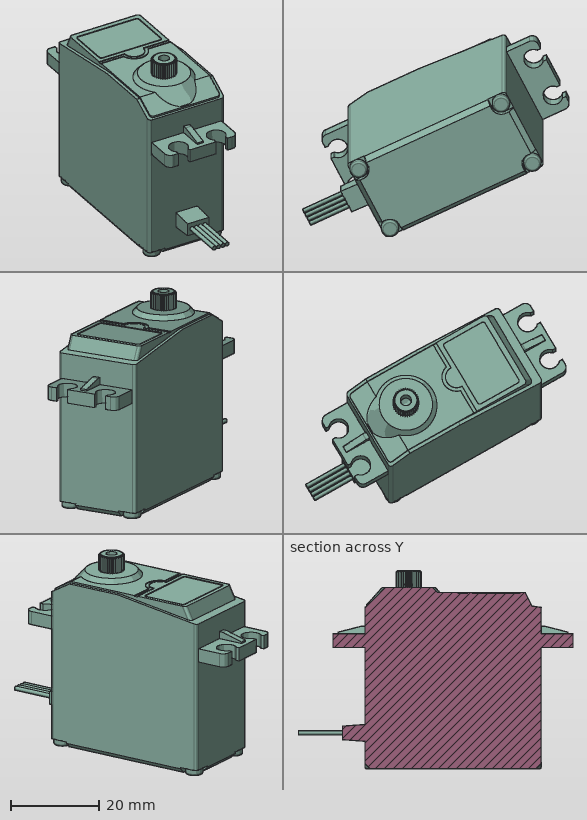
import cadquery as cq
import math

overall_length = 62.2

case_length = 39.95
case_width = 20.0
case_corner_radius = 0.75
case_left_height = 36.6
roof_height = 39.55
roof_left_x = 1.6
roof_right_x = 14.75
roof_fall = math.tan(math.radians(30))
bottom_chamfer = 1.2

lid_height = 39.95
lid_width = 18.4
lid_corner_radius = 0.75
lid_left_top_x = -16.35
lid_left_foot_x = -18.0
lid_left_foot_z = 36.7
lid_right_top_x = 14.8
lid_right_x = 19.6
lid_embed = 1.25

mark_depth = 0.2
label_left_x = -15.1
label_right_x = -4.35
label_width = 16.3
label_corner_radius = 0.55
groove_left_x = -3.25
groove_width = 0.8
groove_arc_radius = 2.5

shaft_x = 10.0
boss_height = 41.05
boss_top_radius = 6.05
boss_flare = 0.9
boss_base_z = 37.3
spline_height = 44.9
spline_teeth = 35
spline_tip_radius = 2.9
spline_root_radius = 2.5
spline_end_chamfer = 0.4
screw_hole_diameter = 2.5
screw_hole_depth = 3.1
drill_point_angle = 118

ear_tip_x = 27.2
ear_width = lid_width
ear_bottom_z = 27.4
ear_top_z = 30.6
ear_corner_radius = 1.5
ear_hole_x = 24.7
ear_hole_y = 5.0
ear_hole_diameter = 4.5
ear_slot_width = 3.0

rib_width = 1.55
rib_shoulder_x = 20.85
rib_tip_x = 26.0
rib_shoulder_z = 32.3
rib_tip_z = 31.0

cable_z = 8.15
boot_end_x = 25.05
boot_root_height = 3.85
boot_end_height = 3.1
boot_width = 5.6
wire_end_x = overall_length - ear_tip_x
wire_diameter = 1.0
wire_pitch = 1.1
wire_count = 4

foot_diameter = 4.0
foot_height = 1.5
foot_edge_radius = 0.45
foot_pocket_size = 4.35

half_length = case_length / 2


def extrude_across(points, width):
    """Prism with an XZ outline, centred on Y = 0."""
    return cq.Workplane("XZ").polyline(points).close().extrude(width / 2, both=True)


def make_case():
    right_height = roof_height - (half_length - roof_right_x) * roof_fall
    case = extrude_across([
        (-half_length, 0),
        (half_length, 0),
        (half_length, right_height),
        (roof_right_x, roof_height),
        (roof_left_x, roof_height),
        (-half_length, case_left_height),
    ], case_width)
    case = case.edges("|Z").fillet(case_corner_radius)
    return case.faces("<Z").chamfer(bottom_chamfer)


def make_lid():
    lean = (lid_left_top_x - lid_left_foot_x) / (lid_height - lid_left_foot_z)
    base_z = lid_left_foot_z - lid_embed
    right_z = lid_height - (lid_right_x - lid_right_top_x) * roof_fall
    lid = extrude_across([
        (lid_left_foot_x - lean * lid_embed, base_z),
        (lid_right_x, base_z),
        (lid_right_x, right_z),
        (lid_right_top_x, lid_height),
        (lid_left_top_x, lid_height),
    ], lid_width)
    lid = lid.faces("<X").edges("not |Y").fillet(lid_corner_radius)
    return lid.faces(">X").edges("|Z").fillet(lid_corner_radius)


def groove_edge(edge_x, arc_radius):
    """Slab left of a groove edge at edge_x, with a round bulge centred at groove_left_x."""
    slab = cq.Workplane("XY").box(half_length, case_width, mark_depth, centered=(False, True, False))
    bulge = cq.Workplane("XY").circle(arc_radius).extrude(mark_depth).translate((groove_left_x, 0, 0))
    return slab.translate((edge_x - half_length, 0, 0)).union(bulge)


def make_lid_marks():
    inner = groove_edge(groove_left_x, groove_arc_radius)
    outer = groove_edge(groove_left_x + groove_width, groove_arc_radius + groove_width)
    label = (
        cq.Workplane("XY")
        .center((label_left_x + label_right_x) / 2, 0)
        .rect(label_right_x - label_left_x, label_width)
        .extrude(mark_depth)
        .edges("|Z")
        .fillet(label_corner_radius)
    )
    return outer.cut(inner).union(label).translate((0, 0, lid_height - mark_depth))


def revolve_on_shaft(points):
    """Solid of revolution about the shaft axis from (radius, Z) points."""
    profile = cq.Workplane("XZ").polyline(points).close()
    return profile.revolve(360, (0, 0), (0, 1)).translate((shaft_x, 0, 0))


def make_boss():
    base_radius = boss_top_radius + (boss_height - boss_base_z) * boss_flare
    return revolve_on_shaft([
        (0, boss_base_z),
        (base_radius, boss_base_z),
        (boss_top_radius, boss_height),
        (0, boss_height),
    ])


def make_spline():
    outline = []
    for index in range(2 * spline_teeth):
        angle = math.pi * index / spline_teeth
        radius = spline_tip_radius if index % 2 else spline_root_radius
        outline.append((radius * math.cos(angle), radius * math.sin(angle)))
    teeth = (
        cq.Workplane("XY", origin=(shaft_x, 0, boss_base_z))
        .polyline(outline)
        .close()
        .extrude(spline_height - boss_base_z)
    )
    envelope = revolve_on_shaft([
        (0, boss_base_z),
        (spline_tip_radius, boss_base_z),
        (spline_tip_radius, spline_height - spline_end_chamfer),
        (spline_root_radius, spline_height),
        (0, spline_height),
    ])
    return teeth.intersect(envelope)


def make_screw_hole():
    radius = screw_hole_diameter / 2
    floor_z = spline_height - screw_hole_depth
    point_z = floor_z - radius / math.tan(math.radians(drill_point_angle / 2))
    return revolve_on_shaft([
        (0, point_z),
        (radius, floor_z),
        (radius, spline_height),
        (0, spline_height),
    ])


def make_right_ear():
    root_x = half_length - case_corner_radius
    ear_height = ear_top_z - ear_bottom_z
    ear = (
        cq.Workplane("XY", origin=(root_x, 0, ear_bottom_z))
        .box(ear_tip_x - root_x, ear_width, ear_height, centered=(False, True, False))
        .edges("|Z and >X")
        .fillet(ear_corner_radius)
    )
    hole_plane = cq.Workplane("XY", origin=(ear_hole_x, 0, ear_bottom_z))
    hole_places = [(0, ear_hole_y), (0, -ear_hole_y)]
    holes = hole_plane.pushPoints(hole_places).circle(ear_hole_diameter / 2).extrude(ear_height)
    slots = hole_plane.pushPoints(hole_places).box(
        ear_tip_x - ear_hole_x, ear_slot_width, ear_height, centered=(False, True, False)
    )
    rib = extrude_across([
        (root_x, ear_bottom_z),
        (rib_tip_x, ear_bottom_z),
        (rib_tip_x, rib_tip_z),
        (rib_shoulder_x, rib_shoulder_z),
        (root_x, rib_shoulder_z),
    ], rib_width)
    return ear.cut(holes).cut(slots).union(rib)


def make_cable():
    cable = extrude_across([
        (half_length - case_corner_radius, cable_z - boot_root_height / 2),
        (half_length, cable_z - boot_root_height / 2),
        (boot_end_x, cable_z - boot_end_height / 2),
        (boot_end_x, cable_z + boot_end_height / 2),
        (half_length, cable_z + boot_root_height / 2),
        (half_length - case_corner_radius, cable_z + boot_root_height / 2),
    ], boot_width)
    wires = (
        cq.Workplane("YZ", origin=(half_length, 0, cable_z))
        .rarray(wire_pitch, 0.6, wire_count, 1)
        .circle(wire_diameter / 2)
        .extrude(wire_end_x - half_length)
    )
    return cable.union(wires)


def make_foot_pockets():
    """Square corner pockets whose inner corner is rounded concentric with the foot."""
    corner_square = 2 * foot_pocket_size
    return (
        cq.Workplane("XY")
        .rect(case_length, case_width, forConstruction=True)
        .vertices()
        .rect(corner_square, corner_square)
        .extrude(foot_height)
        .edges("|Z")
        .fillet(foot_pocket_size - foot_diameter / 2)
    )


def make_feet():
    feet = (
        cq.Workplane("XY")
        .rect(case_length - foot_diameter, case_width - foot_diameter, forConstruction=True)
        .vertices()
        .circle(foot_diameter / 2)
        .extrude(foot_height)
    )
    return feet.faces("<Z").edges().fillet(foot_edge_radius)


right_ear = make_right_ear()

result = (
    make_case()
    .cut(make_foot_pockets())
    .union(make_feet())
    .union(make_lid())
    .cut(make_lid_marks())
    .union(make_boss())
    .union(make_spline())
    .cut(make_screw_hole())
    .union(right_ear)
    .union(right_ear.mirror("YZ"))
    .union(make_cable())
)